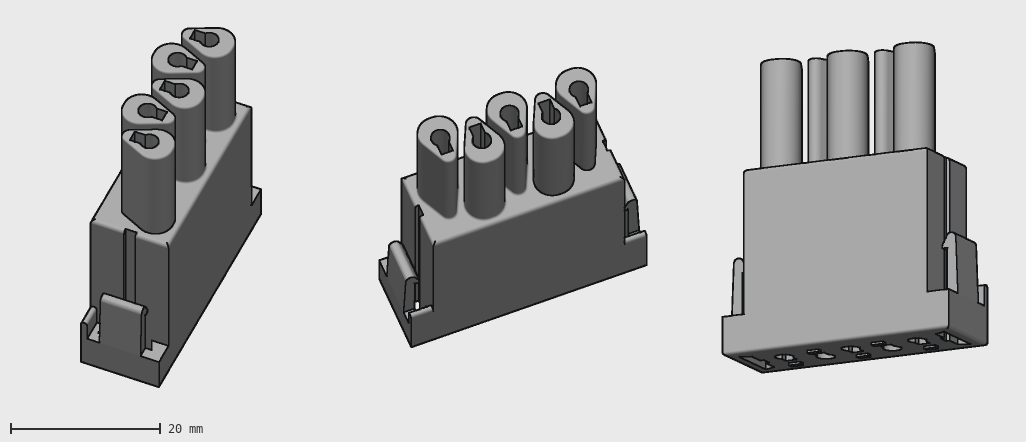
import cadquery as cq
import math

total_height = 40.6
body_width = 11.4
body_length = 27.6
base_length = 34.0
base_bottom = 0.32
body_top = 25.58
body_edge_radius = 0.55
base_edge_radius = 0.45

flange_depth = (base_length - body_length) / 2
flange_floor = 5.65
lip_top = 8.6
lip_thickness = 0.95
window_inner_width = 6.5
window_outer_width = 7.8
end_groove_width = 1.62
end_groove_depth = 0.53

latch_width = 6.0
latch_inner_y = 15.4
latch_tip_y = 14.65
latch_catch_z = 12.1
latch_tip_top_z = 12.55
latch_slope_y = 15.3
latch_slope_z = 13.75
latch_crown_y = 15.95
latch_crown_z = 14.15
latch_outer_top_y = 16.7
latch_outer_top_z = 13.4

tower_count = 5
tower_pitch = 5.0
tower_round_radius = 2.5
tower_round_x = 2.2
tower_flat_width = 0.45
tower_tip_radius = 1.1
tower_tip_x = -1.62
tower_top_radius = 0.32
tower_foot_radius = 0.35
tower_foot_margin = 0.4
first_footed_tower = 2

bore_diameter = 2.5
bore_x = 1.2
slot_width = 1.65
slot_end_x = -1.25
slot_lower_end_x = -0.85

mark_size_x = 0.9
mark_size_y = 1.7
mark_x = 2.5
mark_outer_y = 10.15
mark_inner_y = 4.85
mark_rows = (-mark_outer_y, -mark_inner_y, 0, mark_inner_y, mark_outer_y)


def box(x_range, y_range, z_range):
    """Box between pairs of limits."""
    size = [high - low for low, high in (x_range, y_range, z_range)]
    corner = (x_range[0], y_range[0], z_range[0])
    return cq.Workplane("XY").box(*size, centered=False).translate(corner)


def tip_side(index):
    """Sign of X toward which a tower tip points: even towers point to -X."""
    return -1 if index % 2 == 0 else 1


def place_at_tower(shape, index):
    """Turn a shape built for a -X tip and move it to a tower position."""
    angle = 0 if tip_side(index) < 0 else 180
    y = (index - (tower_count - 1) / 2) * tower_pitch
    return shape.rotate((0, 0, 0), (0, 0, 1), angle).translate((0, y, 0))


def both_ends(shape):
    """The shape together with its mirror image at the other end of Y."""
    return shape.union(shape.mirror("XZ"))


def make_body():
    """Base with end flanges, the tall block on it and a round-topped lip on each flange."""
    half_x = body_width / 2
    half_y = body_length / 2
    base = box((-half_x, half_x), (-base_length / 2, base_length / 2), (base_bottom, flange_floor))
    base = base.faces("<Z").edges().fillet(base_edge_radius)
    block = box((-half_x, half_x), (-half_y, half_y), (flange_floor, body_top))
    block = block.faces(">Z").edges().fillet(body_edge_radius)
    lip_shoulder = lip_top - lip_thickness / 2
    lip = (
        cq.Workplane("XZ", origin=(0, half_y, 0))
        .moveTo(-half_x, flange_floor)
        .lineTo(-half_x, lip_shoulder)
        .threePointArc(
            (-half_x + lip_thickness / 2, lip_top), (-half_x + lip_thickness, lip_shoulder)
        )
        .lineTo(-half_x + lip_thickness, flange_floor)
        .close()
        .extrude(-flange_depth)
    )
    return base.union(block).union(both_ends(lip))


def make_end_openings():
    """Flared window behind each latch and the narrow groove up each end wall."""
    wall_y = body_length / 2
    window = (
        cq.Workplane("XY")
        .polyline([
            (-window_inner_width / 2, wall_y),
            (window_inner_width / 2, wall_y),
            (window_outer_width / 2, latch_inner_y),
            (-window_outer_width / 2, latch_inner_y),
        ])
        .close()
        .extrude(flange_floor)
    )
    groove = box(
        (-end_groove_width / 2, end_groove_width / 2),
        (wall_y - end_groove_depth, wall_y),
        (0, body_top),
    )
    return both_ends(window.union(groove))


def make_latches():
    """Hooked arms that rise from the outer walls of the flanges."""
    latch = (
        cq.Workplane("YZ")
        .moveTo(latch_inner_y, flange_floor)
        .lineTo(latch_inner_y, latch_catch_z)
        .lineTo(latch_tip_y, latch_catch_z)
        .lineTo(latch_tip_y, latch_tip_top_z)
        .lineTo(latch_slope_y, latch_slope_z)
        .threePointArc((latch_crown_y, latch_crown_z), (latch_outer_top_y, latch_outer_top_z))
        .lineTo(base_length / 2, flange_floor)
        .close()
        .extrude(latch_width / 2, both=True)
    )
    return both_ends(latch)


def make_tower():
    """Teardrop column: flat flanks run tangent from the large rounds to the tip round."""
    half_flat = tower_flat_width / 2
    span_x = tower_round_x - tower_tip_x
    flank_angle = math.atan2(half_flat, span_x)
    flank_angle += math.asin((tower_round_radius - tower_tip_radius) / math.hypot(span_x, half_flat))
    normal_angle = math.pi / 2 + flank_angle

    def round_point(angle, side):
        x = tower_round_x + tower_round_radius * math.cos(angle)
        y = half_flat + tower_round_radius * math.sin(angle)
        return (x, side * y)

    tip_x = tower_tip_x + tower_tip_radius * math.cos(normal_angle)
    tip_y = tower_tip_radius * math.sin(normal_angle)
    return (
        cq.Workplane("XY")
        .workplane(offset=body_top)
        .moveTo(*round_point(normal_angle, 1))
        .threePointArc(round_point(normal_angle / 2, 1), round_point(0, 1))
        .lineTo(*round_point(0, -1))
        .threePointArc(round_point(normal_angle / 2, -1), round_point(normal_angle, -1))
        .lineTo(tip_x, -tip_y)
        .threePointArc((tower_tip_x - tower_tip_radius, 0), (tip_x, tip_y))
        .close()
        .extrude(total_height - body_top)
        .faces(">Z")
        .edges()
        .fillet(tower_top_radius)
    )


def add_foot(tower):
    """Tower with a concave fillet onto a thin plate that sinks into the body."""
    half_x = tower_round_x + tower_round_radius + tower_foot_margin
    half_y = tower_flat_width / 2 + tower_round_radius + tower_foot_margin
    plate = box((-half_x, half_x), (-half_y, half_y), (body_top - tower_foot_margin, body_top))
    footed = tower.union(plate)
    plate_face = footed.faces("+Z").faces("<Z")
    foot_edges = plate_face.val().innerWires()[0].Edges()
    return footed.newObject(foot_edges).fillet(tower_foot_radius)


def make_keyhole():
    """Round bore with a side slot that narrows to a ledge at the body top."""
    half_slot = slot_width / 2
    bore = cq.Workplane("XY").center(bore_x, 0).circle(bore_diameter / 2).extrude(total_height)
    lower_slot = box((slot_lower_end_x, bore_x), (-half_slot, half_slot), (0, body_top))
    upper_slot = box((slot_end_x, bore_x), (-half_slot, half_slot), (body_top, total_height))
    return bore.union(lower_slot).union(upper_slot)


def make_mark(index):
    """Small raised pad under the tip side of a tower."""
    mark = box(
        (-mark_size_x / 2, mark_size_x / 2), (-mark_size_y / 2, mark_size_y / 2), (0, base_bottom)
    )
    return mark.translate((mark_x * tip_side(index), mark_rows[index], 0))


result = make_body().cut(make_end_openings()).union(make_latches())

plain_tower = make_tower()
footed_tower = add_foot(plain_tower)
keyhole = make_keyhole()
for index in range(tower_count):
    tower = footed_tower if index >= first_footed_tower else plain_tower
    result = result.union(place_at_tower(tower, index))
for index in range(tower_count):
    result = result.cut(place_at_tower(keyhole, index))
    result = result.union(make_mark(index))